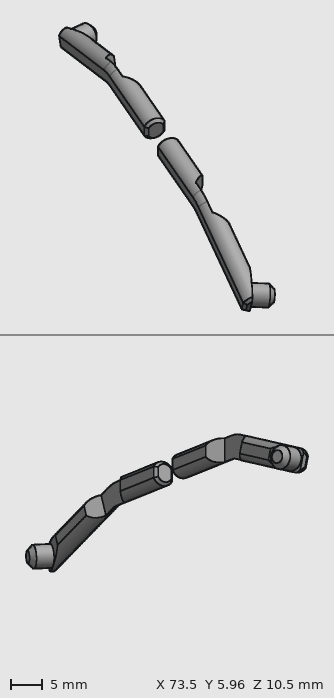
import cadquery as cq
import math

rod_radius = 2.0
half_depth = 1.8
flat_half_height = math.sqrt(rod_radius**2 - half_depth**2)

inner_end_x = 2.1
bend_start_x = 16.2
level_length = bend_start_x - inner_end_x
bend_radius = 5.3
bend_angle = 20
arm_length = 19.05
end_chamfer = 0.5
chamfer_taper = 45

relief_floor_y = -0.4
level_relief_run = 2.0
arm_relief_run = 2.1
relief_rise = half_depth - relief_floor_y

seat_angle = 20
seat_start = 12.9
pin_place = 17.05
pin_radius = 1.9
pin_height = 3.75
pin_chamfer = 0.9
pin_root = 0.7

cutter_height = 4 * rod_radius


def bar_section(plane):
    return (
        plane.moveTo(-half_depth, -flat_half_height)
        .lineTo(-half_depth, flat_half_height)
        .threePointArc((0, rod_radius), (half_depth, flat_half_height))
        .lineTo(half_depth, -flat_half_height)
        .threePointArc((0, -rod_radius), (-half_depth, -flat_half_height))
        .close()
    )


def make_limb(length, relief_run):
    """Straight limb along +X, chamfered at its far end and relieved near X = 0."""
    shank_length = length - end_chamfer
    shank = bar_section(cq.Workplane("YZ")).extrude(shank_length)
    tip_plane = cq.Workplane("YZ", origin=(shank_length, 0, 0))
    tip = bar_section(tip_plane).extrude(end_chamfer, taper=chamfer_taper)
    limb = shank.union(tip)
    relief = (
        cq.Workplane("XY")
        .moveTo(0, relief_floor_y)
        .lineTo(relief_run, relief_floor_y)
        .lineTo(relief_run + relief_rise, half_depth)
        .lineTo(0, half_depth)
        .close()
        .extrude(cutter_height / 2, both=True)
    )
    return limb.cut(relief)


def make_bend():
    """Curved piece starting at X = 0 and turning down about an axis below it."""
    bend = bar_section(cq.Workplane("YZ")).revolve(
        bend_angle, (0, -bend_radius, 0), (1, -bend_radius, 0)
    )
    relief = cq.Workplane("XY").box(
        cutter_height, relief_rise, cutter_height
    ).translate((0, relief_floor_y + relief_rise / 2, 0))
    return bend.cut(relief)


def make_arm():
    """Limb along +X with a sloped seat and a chamfered pin near its far end."""
    slope = math.tan(math.radians(seat_angle))
    seat_end_y = half_depth - (arm_length - seat_start) * slope
    seat_cut = (
        cq.Workplane("XY")
        .moveTo(seat_start, half_depth)
        .lineTo(arm_length, half_depth)
        .lineTo(arm_length, seat_end_y)
        .close()
        .extrude(cutter_height / 2, both=True)
    )
    pin_base_y = half_depth - (pin_place - seat_start) * slope
    tilt = math.radians(seat_angle)
    pin_axis = (math.sin(tilt), math.cos(tilt), 0)
    pin_plane = cq.Plane((pin_place, pin_base_y, 0), (0, 0, 1), pin_axis)
    pin = (
        cq.Workplane(pin_plane)
        .workplane(offset=-pin_root)
        .circle(pin_radius)
        .extrude(pin_root + pin_height)
        .faces(cq.selectors.DirectionMinMaxSelector(cq.Vector(*pin_axis)))
        .chamfer(pin_chamfer)
    )
    return make_limb(arm_length, arm_relief_run).cut(seat_cut).union(pin)


def make_bar():
    """Right-hand bar, its level limb on the axis Z = 0."""
    turn = math.radians(bend_angle)
    bend_end = (bend_radius * math.sin(turn), 0, -bend_radius * (1 - math.cos(turn)))
    level_limb = make_limb(level_length, level_relief_run).mirror("YZ")
    arm = make_arm().rotate((0, 0, 0), (0, 1, 0), bend_angle).translate(bend_end)
    bar = level_limb.union(make_bend()).union(arm)
    return bar.translate((bend_start_x, 0, 0))


bars = []
for mirrored in (False, True):
    bar = make_bar()
    if mirrored:
        bar = bar.mirror("YZ")
    bars.extend(bar.solids().vals())

result = cq.Compound.makeCompound(bars)